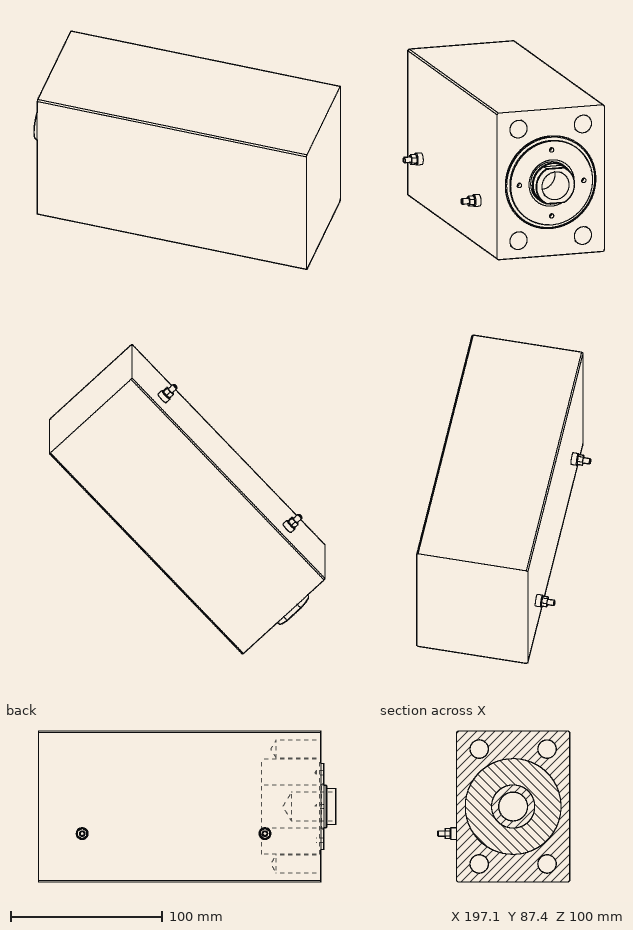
import cadquery as cq
import math


block_length = 187.0
block_width = 75.0
block_height = 100.0
edge_chamfer = 1.0

mount_hole_diameter = 12.0
mount_hole_depth = 29.5
mount_spacing_y = 45.0
mount_spacing_z = 76.0

gland_diameter = 63.0
gland_depth = 39.4
gland_rim_chamfer = 0.8
boss_diameter = 57.1
boss_height = 2.0
bore_mouth_diameter = 31.5

spanner_hole_count = 4
spanner_hole_diameter = 3.0
spanner_hole_depth = 5.0
spanner_circle_radius = 22.5

rod_diameter = 28.2
rod_projection = 4.0
collar_chamfer = 0.4
tip_diameter = 27.0
tip_length = 6.1
tip_flat_width = 24.0
tip_chamfer = 0.4
rod_hole_diameter = 19.0
rod_hole_depth = 29.5

nipple_places_x = (37.0, 158.0)
nipple_z = -18.0
nipple_base_diameter = 7.9
nipple_base_height = 4.1
nipple_base_chamfer = 0.5
nipple_hex_sides = 6
nipple_hex_width = 6.0
nipple_hex_height = 3.3
nipple_tip_diameter = 3.7
nipple_tip_height = 5.0
nipple_tip_chamfer = 0.5

drill_point_angle = 118.0


def cylinder_along_x(diameter, start_x, length):
    """Cylinder on the X axis, from start_x toward +X."""
    return cq.Workplane("YZ", origin=(start_x, 0, 0)).circle(diameter / 2).extrude(length)


def drill(diameter, depth, start_x, y=0.0, z=0.0):
    """Blind drilled hole toward +X with a conical end; depth is that of the straight wall."""
    radius = diameter / 2
    point_length = radius / math.tan(math.radians(drill_point_angle / 2))
    profile = (
        cq.Workplane("XY")
        .moveTo(0, 0)
        .lineTo(0, radius)
        .lineTo(depth, radius)
        .lineTo(depth + point_length, 0)
        .close()
    )
    hole = profile.revolve(360, (0, 0, 0), (1, 0, 0))
    return hole.translate((start_x, y, z))


def make_housing():
    block = cq.Workplane("XY").box(block_length, block_width, block_height, centered=(False, True, True))
    block = block.edges("|X").chamfer(edge_chamfer)

    block = block.cut(cylinder_along_x(gland_diameter, 0, gland_depth))
    for y in (-mount_spacing_y / 2, mount_spacing_y / 2):
        for z in (-mount_spacing_z / 2, mount_spacing_z / 2):
            block = block.cut(drill(mount_hole_diameter, mount_hole_depth, 0, y, z))
    return block


def make_gland():
    disc = cylinder_along_x(gland_diameter, 0, gland_depth).faces("<X").chamfer(gland_rim_chamfer)
    gland = disc.union(cylinder_along_x(boss_diameter, -boss_height, boss_height))

    gland = gland.cut(cylinder_along_x(rod_diameter, -boss_height, gland_depth + boss_height))
    mouth_edge = cq.selectors.RadiusNthSelector(0)
    gland = gland.faces("<X").edges(mouth_edge).chamfer((bore_mouth_diameter - rod_diameter) / 2)

    for index in range(spanner_hole_count):
        angle = 2 * math.pi * index / spanner_hole_count
        y = spanner_circle_radius * math.cos(angle)
        z = spanner_circle_radius * math.sin(angle)
        gland = gland.cut(drill(spanner_hole_diameter, spanner_hole_depth, -boss_height, y, z))
    return gland


def make_rod():
    shaft = cylinder_along_x(rod_diameter, -rod_projection, rod_projection + gland_depth)
    shaft = shaft.faces("<X").chamfer(collar_chamfer)
    tip_x = -rod_projection - tip_length

    flats = cq.Workplane("XY", origin=(tip_x, 0, 0)).box(
        tip_length, tip_diameter, tip_flat_width, centered=(False, True, True)
    )
    tip = cylinder_along_x(tip_diameter, tip_x, tip_length).intersect(flats)
    tip = tip.faces("<X").chamfer(tip_chamfer)
    return shaft.union(tip).cut(drill(rod_hole_diameter, rod_hole_depth, tip_x))


def make_nipple(x):
    seat = cq.Workplane(cq.Plane(origin=(x, block_width / 2, nipple_z), xDir=(0, 0, 1), normal=(0, 1, 0)))
    hex_corner_diameter = nipple_hex_width / math.cos(math.pi / nipple_hex_sides)

    base = seat.circle(nipple_base_diameter / 2).extrude(nipple_base_height)
    base = base.faces(">Y").chamfer(nipple_base_chamfer)
    hexagon = seat.workplane(offset=nipple_base_height).polygon(nipple_hex_sides, hex_corner_diameter)
    hexagon = hexagon.extrude(nipple_hex_height)
    tip = seat.workplane(offset=nipple_base_height + nipple_hex_height).circle(nipple_tip_diameter / 2)
    tip = tip.extrude(nipple_tip_height).faces(">Y").chamfer(nipple_tip_chamfer)
    return base.union(hexagon).union(tip)


housing = make_housing()
gland = make_gland()
rod = make_rod()
nipples = [make_nipple(x) for x in nipple_places_x]

result = cq.Compound.makeCompound(
    [housing.val(), gland.val(), rod.val(), *[nipple.val() for nipple in nipples]]
)